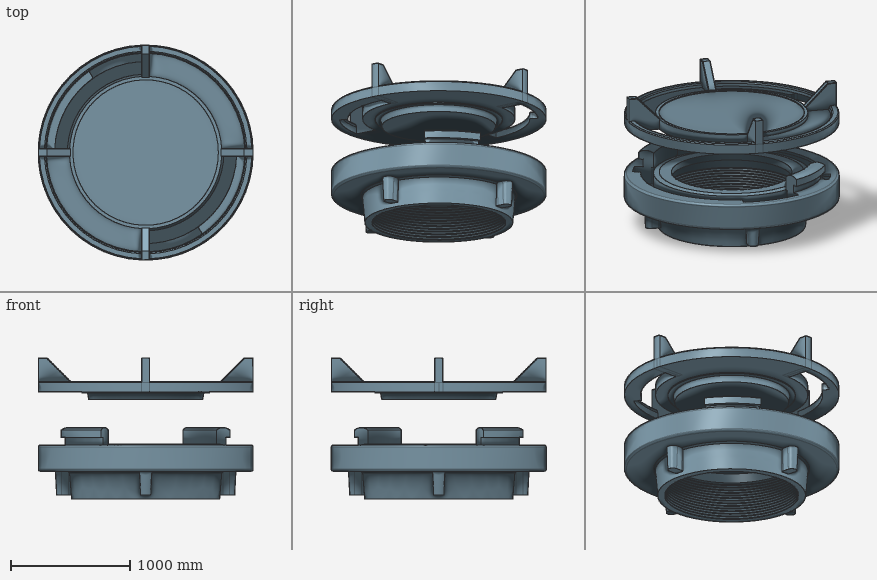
import cadquery as cq
import math

BASE_BOTTOM = 235.0
BASE_TOP = 455.0
COLLAR_TOP = 463.0
CAP_BOTTOM = 900.0
CAP_TOP = 988.0
FIN_TOP = 1185.0

BASE_RADIUS = 902.0
BASE_EDGE_FILLET = 18.0
NECK_BOTTOM_RADIUS = 620.0
NECK_TOP_RADIUS = 640.0
NECK_ROOT = 15.0
BORE_RADIUS = 559.0
THREAD_DEPTH = 10.0
THREAD_PITCH = 23.0
THREAD_COUNT = 14
COLLAR_RADIUS = 656.0

LUG_ANGLES = (45, 225)
LUG_HALF_ANGLE = 17.2
LUG_INNER_RADIUS = 670.0
LUG_NECK_RADIUS = 763.0
LUG_HOOK_RADIUS = 800.0
LUG_TOP = 600.0
HOOK_BOTTOM = 520.0
LUG_CROWN = 22.0
POCKET_RADIUS = 831.0
LEDGE_THICKNESS = 22.0
GROOVE_FLOOR = BASE_TOP - (LUG_TOP - BASE_TOP)
ENTRY_ANGLE = 53.0
CLEARANCE_ANGLE = 28.0
CORNER_FILLET = 18.0
RIB_BOTTOM = 35.0
RIB_END_RADIUS = 42.4
RIB_REACH = 757.0
RIB_START = 595.0
RIB_DRAFT = 3.0

GASKET_OUTER_RADIUS = 608.0
GASKET_INNER_RADIUS = 505.0
GASKET_THICKNESS = 54.0
GASKET_SEAT = COLLAR_TOP - GASKET_THICKNESS

RIM_RADIUS = 900.0
RIM_OUTER_CHAMFER = 9.0
RIM_INNER_RADIUS = 838.0
RIM_INNER_CHAMFER = 10.0
FLOOR_TOP = 955.0
OPENING_STARTS = (90, 270)
LEDGE_SPAN = 55
DISC_RADIUS = 638.0
DISH_RADIUS = 610.0
DISH_DEPTH = 7.0
FIN_WIDTH = 69.0
FIN_FLAT = 74.0
FIN_INNER_RADIUS = 631.0
FIN_CHAMFER = 5.0

SEAL_FLANGE_RADIUS = 534.6
SEAL_SHOULDER = 890.0
SEAL_BOTTOM = 835.0
SEAL_LIP_RADIUS = 489.0
SEAL_TIP_RADIUS = 478.0

QUARTER = 90
QUARTER_TURNS = (0, 90, 180, 270)
OVERSHOOT = 18.0


def tube(outer, inner, bottom, top):
    return cq.Workplane("XY").workplane(offset=bottom).circle(outer).circle(inner).extrude(top - bottom)


def disc(radius, bottom, top):
    return cq.Workplane("XY").workplane(offset=bottom).circle(radius).extrude(top - bottom)


def spin(points):
    """Revolve a (radius, height) outline about Z."""
    return cq.Workplane("XZ").polyline(points).close().revolve(360, (0, 0), (0, 1))


def polar(radius, angle):
    turn = math.radians(angle)
    return (radius * math.cos(turn), radius * math.sin(turn))


def sector(inner, outer, start, end, bottom, top):
    """Ring sector between two angles in degrees."""
    middle = (start + end) / 2
    return (
        cq.Workplane("XY").workplane(offset=bottom)
        .moveTo(*polar(inner, start))
        .lineTo(*polar(outer, start))
        .threePointArc(polar(outer, middle), polar(outer, end))
        .lineTo(*polar(inner, end))
        .threePointArc(polar(inner, middle), polar(inner, start))
        .close()
        .extrude(top - bottom)
    )


def turned_base():
    body = tube(BASE_RADIUS, NECK_BOTTOM_RADIUS, BASE_BOTTOM, BASE_TOP)
    return body.edges(cq.selectors.RadiusNthSelector(-1)).fillet(BASE_EDGE_FILLET)


def threaded_neck():
    """Tapered neck and collar in one piece, with V thread grooves along the bore."""
    profile = (
        cq.Workplane("XZ")
        .moveTo(BORE_RADIUS, 0)
        .lineTo(NECK_BOTTOM_RADIUS, 0)
        .lineTo(NECK_TOP_RADIUS, BASE_BOTTOM - NECK_ROOT)
        .lineTo(NECK_TOP_RADIUS + NECK_ROOT, BASE_BOTTOM)
        .lineTo(COLLAR_RADIUS, BASE_BOTTOM)
        .lineTo(COLLAR_RADIUS, BASE_TOP)
        .lineTo(GASKET_OUTER_RADIUS, COLLAR_TOP)
        .lineTo(GASKET_OUTER_RADIUS, GASKET_SEAT)
        .lineTo(BORE_RADIUS, GASKET_SEAT)
    )
    for index in reversed(range(THREAD_COUNT)):
        profile = profile.lineTo(BORE_RADIUS, (index + 1) * THREAD_PITCH)
        profile = profile.lineTo(BORE_RADIUS + THREAD_DEPTH, (index + 0.5) * THREAD_PITCH)
    return profile.close().revolve(360, (0, 0), (0, 1))


def lug_root(angle, bottom, top):
    return sector(LUG_INNER_RADIUS, POCKET_RADIUS + OVERSHOOT, angle - LUG_HALF_ANGLE,
                  angle + LUG_HALF_ANGLE, bottom, top)


def without_lug_roots(space, bottom, top):
    for angle in LUG_ANGLES:
        space = space.cut(lug_root(angle, bottom, top))
    return space.edges("|Z").fillet(CORNER_FILLET)


def bayonet_mouth():
    """Opening through the ledges, widened to pockets on both sides of each lug."""
    bottom = BASE_TOP - LEDGE_THICKNESS
    top = BASE_TOP + OVERSHOOT
    mouth = tube(LUG_NECK_RADIUS, COLLAR_RADIUS, bottom, top)
    for angle in LUG_ANGLES:
        mouth = mouth.union(sector(COLLAR_RADIUS, POCKET_RADIUS, angle - ENTRY_ANGLE,
                                   angle + CLEARANCE_ANGLE, bottom, top))
    return without_lug_roots(mouth, bottom, top)


def bayonet_track():
    """Wide groove that runs under the ledges from lug to lug."""
    top = BASE_TOP - LEDGE_THICKNESS
    track = tube(POCKET_RADIUS, COLLAR_RADIUS, GROOVE_FLOOR, top)
    return without_lug_roots(track, GROOVE_FLOOR, top)


def lug(angle):
    """Hooked lug with a crowned top, turned about the axis."""
    crown_edge = LUG_TOP - LUG_CROWN
    crown_middle = (LUG_INNER_RADIUS + LUG_HOOK_RADIUS) / 2
    return (
        cq.Workplane("XZ")
        .moveTo(LUG_INNER_RADIUS, BASE_TOP)
        .lineTo(LUG_NECK_RADIUS, BASE_TOP)
        .lineTo(LUG_NECK_RADIUS, HOOK_BOTTOM)
        .lineTo(LUG_HOOK_RADIUS, HOOK_BOTTOM)
        .lineTo(LUG_HOOK_RADIUS, crown_edge)
        .threePointArc((crown_middle, LUG_TOP), (LUG_INNER_RADIUS, crown_edge))
        .close()
        .revolve(2 * LUG_HALF_ANGLE, (0, 0), (0, 1))
        .rotate((0, 0, 0), (0, 0, 1), angle - LUG_HALF_ANGLE)
    )


def rib(angle):
    """Tapered rib with rounded ends under the base."""
    length = RIB_REACH - RIB_START
    root_radius = RIB_END_RADIUS + (BASE_BOTTOM - RIB_BOTTOM) * math.tan(math.radians(RIB_DRAFT))
    return (
        cq.Workplane("XY").workplane(offset=BASE_BOTTOM)
        .center((RIB_START + RIB_REACH) / 2, 0)
        .slot2D(length, 2 * root_radius)
        .extrude(RIB_BOTTOM - BASE_BOTTOM, taper=RIB_DRAFT)
        .rotate((0, 0, 0), (0, 0, 1), angle)
    )


def make_base():
    body = turned_base().cut(bayonet_mouth()).cut(bayonet_track())
    body = body.union(threaded_neck())
    for angle in LUG_ANGLES:
        body = body.union(lug(angle))
    for angle in QUARTER_TURNS:
        body = body.union(rib(angle))
    return body


def make_base_gasket():
    return tube(GASKET_OUTER_RADIUS, GASKET_INNER_RADIUS, GASKET_SEAT, COLLAR_TOP)


def cap_rim():
    return spin([
        (POCKET_RADIUS, CAP_BOTTOM),
        (RIM_RADIUS, CAP_BOTTOM),
        (RIM_RADIUS, CAP_TOP - RIM_OUTER_CHAMFER),
        (RIM_RADIUS - RIM_OUTER_CHAMFER, CAP_TOP),
        (RIM_INNER_RADIUS + RIM_INNER_CHAMFER, CAP_TOP),
        (RIM_INNER_RADIUS, CAP_TOP - RIM_INNER_CHAMFER),
        (POCKET_RADIUS, FLOOR_TOP),
    ])


def cap_disc():
    return spin([
        (0, CAP_BOTTOM),
        (DISC_RADIUS, CAP_BOTTOM),
        (DISC_RADIUS, CAP_TOP),
        (DISH_RADIUS, CAP_TOP),
        (DISH_RADIUS, CAP_TOP - DISH_DEPTH),
        (0, CAP_TOP - DISH_DEPTH),
    ])


def cap_opening(start):
    """Quarter opening between disc and rim, narrowed by a ledge behind the fin at its far end."""
    end = start + QUARTER
    ledge_end = end - LEDGE_SPAN
    inner = DISC_RADIUS - OVERSHOOT
    opening = sector(inner, LUG_NECK_RADIUS, start, end, CAP_BOTTOM, FLOOR_TOP)
    opening = opening.union(sector(inner, POCKET_RADIUS, start, ledge_end, CAP_BOTTOM, FLOOR_TOP))
    middle = (CAP_BOTTOM + FLOOR_TOP) / 2
    for radius in (LUG_NECK_RADIUS, POCKET_RADIUS):
        corner = (*polar(radius, ledge_end), middle)
        opening = opening.edges(cq.selectors.NearestToPointSelector(corner)).fillet(CORNER_FILLET)
    return opening


def fin(angle):
    """Upright fin from disc to rim with a sloping inner edge."""
    slope_start = RIM_RADIUS - FIN_FLAT
    blade = (
        cq.Workplane("XZ").workplane(offset=-FIN_WIDTH / 2)
        .polyline([
            (FIN_INNER_RADIUS, CAP_BOTTOM),
            (RIM_RADIUS + OVERSHOOT, CAP_BOTTOM),
            (RIM_RADIUS + OVERSHOOT, FIN_TOP),
            (slope_start, FIN_TOP),
            (FIN_INNER_RADIUS, FIN_TOP - (slope_start - FIN_INNER_RADIUS)),
        ]).close().extrude(FIN_WIDTH)
        .intersect(disc(RIM_RADIUS, CAP_BOTTOM, FIN_TOP))
    )
    top_edges = blade.faces(">Z").edges("|X")
    slope_edges = blade.edges("not (|X or |Y or |Z or %CIRCLE)")
    return top_edges.add(slope_edges).chamfer(FIN_CHAMFER).rotate((0, 0, 0), (0, 0, 1), angle)


def make_cap():
    floor = tube(POCKET_RADIUS, DISC_RADIUS, CAP_BOTTOM, FLOOR_TOP)
    for start in OPENING_STARTS:
        floor = floor.cut(cap_opening(start))
    body = floor.union(cap_rim()).union(cap_disc())
    for angle in QUARTER_TURNS:
        body = body.union(fin(angle), clean=False)
    return body


def make_cap_seal():
    return spin([
        (0, SEAL_BOTTOM),
        (SEAL_TIP_RADIUS, SEAL_BOTTOM),
        (SEAL_LIP_RADIUS, SEAL_SHOULDER),
        (SEAL_FLANGE_RADIUS, SEAL_SHOULDER),
        (SEAL_FLANGE_RADIUS, CAP_BOTTOM),
        (0, CAP_BOTTOM),
    ])


base = make_base()
base_gasket = make_base_gasket()
cap = make_cap()
cap_seal = make_cap_seal()

result = cq.Compound.makeCompound([base.val(), base_gasket.val(), cap.val(), cap_seal.val()])